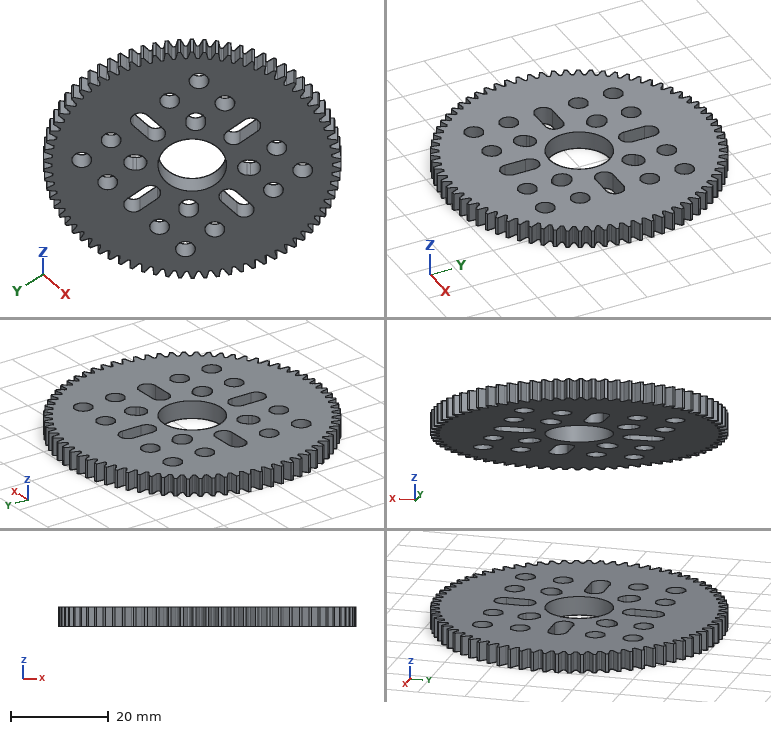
import cadquery as cq
import math

outer_diameter = 60.8
thickness = 4.0
tooth_count = 74
addendum_in_modules = 1.0
dedendum_in_modules = 1.25
tip_width = 0.6
root_gap = 0.55
root_fillet = 0.35

module = outer_diameter / (tooth_count + 2 * addendum_in_modules)
tooth_depth = (addendum_in_modules + dedendum_in_modules) * module
tip_radius = outer_diameter / 2
root_radius = tip_radius - tooth_depth
tooth_angle = 2 * math.pi / tooth_count

bore_diameter = 14.0
hole_diameter = 4.0
grid_reach = 16.0
grid_pitch = grid_reach / 2
slot_start = grid_pitch * math.sqrt(2)
axis_slot_end = grid_reach
diagonal_slot_end = (grid_pitch + grid_reach) / 2


def polar(radius, angle):
    """Point at the given radius and angle from +X."""
    return (radius * math.cos(angle), radius * math.sin(angle))


def gear_blank():
    """Straight-flanked gear, one tooth centred on +Y, with every tooth root filleted."""
    tip_half_angle = tip_width / 2 / tip_radius
    root_half_angle = tooth_angle / 2 - root_gap / 2 / root_radius
    first_angle = math.pi / 2

    outline = cq.Workplane("XY").moveTo(*polar(root_radius, first_angle - root_half_angle))
    for tooth in range(tooth_count):
        centre = first_angle + tooth * tooth_angle
        gap_centre = centre + tooth_angle / 2
        next_centre = centre + tooth_angle
        outline = (
            outline
            .lineTo(*polar(tip_radius, centre - tip_half_angle))
            .threePointArc(polar(tip_radius, centre), polar(tip_radius, centre + tip_half_angle))
            .lineTo(*polar(root_radius, centre + root_half_angle))
            .threePointArc(polar(root_radius, gap_centre), polar(root_radius, next_centre - root_half_angle))
        )
    blank = outline.close().extrude(thickness)

    mid_tooth_radius = root_radius + tooth_depth / 2
    root_corners = [
        edge
        for edge in blank.edges("|Z").vals()
        if math.hypot(edge.Center().x, edge.Center().y) < mid_tooth_radius
    ]
    return blank.newObject(root_corners).fillet(root_fillet)


def radial_slots(start, end, first_angle):
    """Four through slots a quarter turn apart, with their end centres at the given radii."""
    return (
        cq.Workplane("XY")
        .polarArray((start + end) / 2, first_angle, 360, 4)
        .slot2D(end - start + hole_diameter, hole_diameter)
        .extrude(thickness)
    )


def grid_holes():
    """Round through holes of the grid, leaving out the axes and the inner diagonal places."""
    steps = (-2, -1, 1, 2)
    centres = [
        (column * grid_pitch, row * grid_pitch)
        for column in steps
        for row in steps
        if abs(column) == 2 or abs(row) == 2
    ]
    return cq.Workplane("XY").pushPoints(centres).circle(hole_diameter / 2).extrude(thickness)


bore = cq.Workplane("XY").circle(bore_diameter / 2).extrude(thickness)

result = (
    gear_blank()
    .cut(bore)
    .cut(grid_holes())
    .cut(radial_slots(slot_start, axis_slot_end, 0))
    .cut(radial_slots(slot_start, diagonal_slot_end, 45))
)